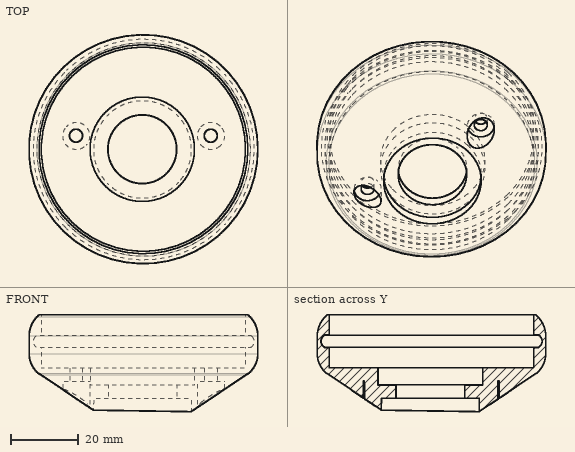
import cadquery as cq
import math

height = 28.8
outer_radius = 34.0
base_radius = 14.15

cone_top_radius = 30.6
cone_top_z = 11.0
lower_arc_radius = 31.35
lower_arc_z = 11.5
band_bottom_z = 17.2
band_top_z = 22.5
upper_arc_radius = 31.7
rim_radius = 31.0
rim_chamfer = upper_arc_radius - rim_radius

cavity_radius = 60.6 / 2
floor_z = 13.1
groove_bottom_z = 19.1
groove_top_z = 22.8
groove_side_radius = 31.7
groove_mid_radius = 32.8

bore_x = -0.35
bore_diameter = 20.3
upper_recess_diameter = 31.0
upper_recess_z = 8.0
lower_recess_diameter = 29.0
lower_recess_z = 4.0

screw_x = 20.0
screw_y = 4.0
screw_diameter = 3.8
screw_head_diameter = 8.0
web_thickness = upper_recess_z - lower_recess_z
screw_head_z = floor_z - web_thickness


def tangent_arc_middle(end_radius, end_z, tangent_z):
    """Midpoint of the arc that leaves the outer band vertically and reaches the given end."""
    inset = outer_radius - end_radius
    rise = end_z - tangent_z
    arc_radius = (inset**2 + rise**2) / (2 * inset)
    half_angle = math.asin(rise / arc_radius) / 2
    middle_radius = outer_radius - arc_radius * (1 - math.cos(half_angle))
    middle_z = tangent_z + arc_radius * math.sin(half_angle)
    return middle_radius, middle_z


def make_body():
    """Solid of revolution with a conical base and rounded shoulders."""
    return (
        cq.Workplane("XZ")
        .lineTo(base_radius, 0)
        .lineTo(cone_top_radius, cone_top_z)
        .lineTo(lower_arc_radius, lower_arc_z)
        .threePointArc(
            tangent_arc_middle(lower_arc_radius, lower_arc_z, band_bottom_z),
            (outer_radius, band_bottom_z),
        )
        .lineTo(outer_radius, band_top_z)
        .threePointArc(
            tangent_arc_middle(upper_arc_radius, height - rim_chamfer, band_top_z),
            (upper_arc_radius, height - rim_chamfer),
        )
        .lineTo(rim_radius, height)
        .lineTo(0, height)
        .close()
        .revolve(360, (0, 0), (0, 1))
    )


def make_cavity():
    """Round cavity whose wall carries a concave groove between two flat ledges."""
    return (
        cq.Workplane("XZ")
        .moveTo(0, floor_z)
        .lineTo(cavity_radius, floor_z)
        .lineTo(cavity_radius, groove_bottom_z)
        .lineTo(groove_side_radius, groove_bottom_z)
        .threePointArc(
            (groove_mid_radius, (groove_bottom_z + groove_top_z) / 2),
            (groove_side_radius, groove_top_z),
        )
        .lineTo(cavity_radius, groove_top_z)
        .lineTo(cavity_radius, height)
        .lineTo(0, height)
        .close()
        .revolve(360, (0, 0), (0, 1))
    )


def vertical_cylinder(x, y, diameter, bottom_z, top_z):
    return (
        cq.Workplane("XY", origin=(x, y, bottom_z))
        .circle(diameter / 2)
        .extrude(top_z - bottom_z)
    )


result = make_body().cut(make_cavity())

result = result.cut(vertical_cylinder(bore_x, 0, bore_diameter, 0, floor_z))
result = result.cut(vertical_cylinder(bore_x, 0, upper_recess_diameter, upper_recess_z, floor_z))
result = result.cut(vertical_cylinder(bore_x, 0, lower_recess_diameter, 0, lower_recess_z))

for x in (-screw_x, screw_x):
    result = result.cut(vertical_cylinder(x, screw_y, screw_diameter, 0, floor_z))
    result = result.cut(vertical_cylinder(x, screw_y, screw_head_diameter, 0, screw_head_z))